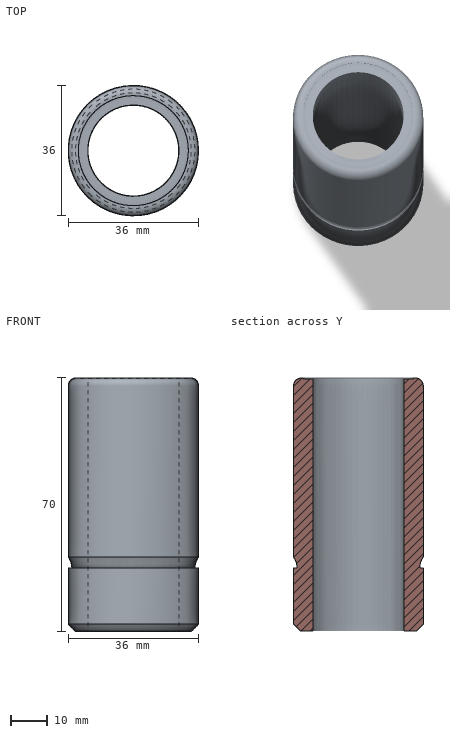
import cadquery as cq
import math

length = 70.0
outer_radius = 18.0
bore_radius = 12.5
bottom_chamfer = 2.0
top_round = 2.25

recess_radius = 15.2
recess_depth = 0.2

groove_bottom = 17.6
groove_height = 3.0
groove_depth = 1.0

recess_floor = length - recess_depth
groove_radius = outer_radius - groove_depth
groove_top = groove_bottom + groove_height

wall_radius = (groove_height**2 + groove_depth**2) / (2 * groove_depth)
wall_half_angle = math.asin(groove_height / wall_radius) / 2
wall_middle = (
    groove_radius + wall_radius * (1 - math.cos(wall_half_angle)),
    groove_bottom + wall_radius * math.sin(wall_half_angle),
)

round_start = length - top_round
round_offset = top_round * math.sqrt(0.5)
round_middle = (outer_radius - top_round + round_offset, round_start + round_offset)

profile = (
    cq.Workplane("XZ")
    .moveTo(bore_radius, 0)
    .lineTo(outer_radius - bottom_chamfer, 0)
    .lineTo(outer_radius, bottom_chamfer)
    .lineTo(outer_radius, groove_bottom)
    .lineTo(groove_radius, groove_bottom)
    .threePointArc(wall_middle, (outer_radius, groove_top))
    .lineTo(outer_radius, round_start)
    .threePointArc(round_middle, (outer_radius - top_round, length))
    .lineTo(recess_radius, length)
    .lineTo(recess_radius, recess_floor)
    .lineTo(bore_radius, recess_floor)
    .close()
)

result = profile.revolve(360, (0, 0, 0), (0, 1, 0))